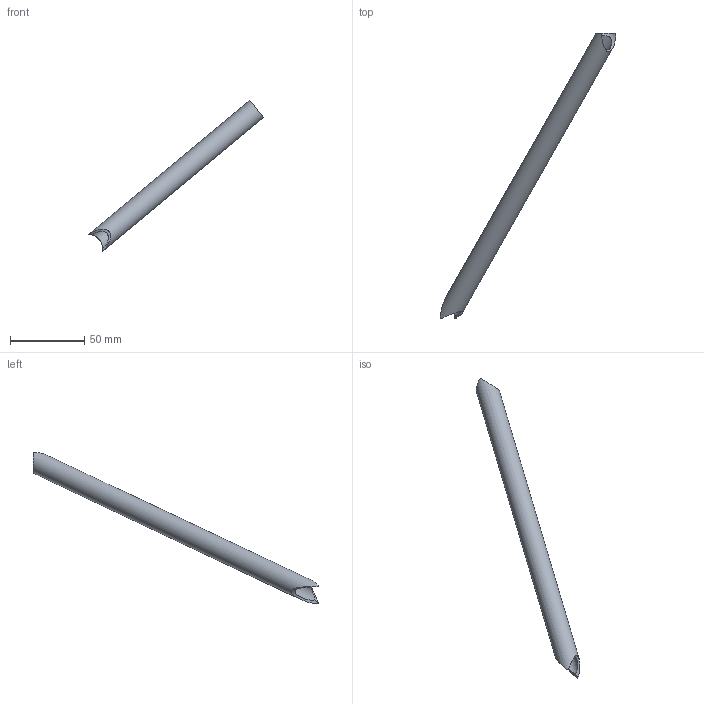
import cadquery as cq
import math


tube_diameter = 14.9
wall_thickness = 1.5
rail_diameter = 19.0
strut_diameter = 16.0
run_length = 141.6
rise_length = 192.70
axis_shift = 1.2
tilt_angle = 39.768

tube_radius = tube_diameter / 2
bore_radius = tube_radius - wall_thickness
rail_radius = rail_diameter / 2
strut_radius = strut_diameter / 2

rail_contact = math.sqrt(rail_radius**2 - tube_radius**2)
strut_contact = math.sqrt(strut_radius**2 - tube_radius**2)

ORIGIN = cq.Vector(0, 0, 0)
X_DIRECTION = cq.Vector(1, 0, 0)
Y_DIRECTION = cq.Vector(0, 1, 0)

lower_point = cq.Vector(rail_contact, strut_contact + axis_shift, 0)
crossing_point = cq.Vector(rail_contact + run_length, strut_contact + rise_length, 0)
brace_vector = crossing_point - lower_point
brace_direction = brace_vector.normalized()
mirrored_direction = cq.Vector(-brace_direction.x, brace_direction.y, 0)

overrun = 2 * tube_diameter
stock_length = brace_vector.Length + 2 * overrun
corner_tube_length = 2 * stock_length


def centered_rod(radius, center, direction, length):
    """Solid cylinder whose middle lies at the given center."""
    base = center - direction * (length / 2)
    return cq.Workplane(cq.Solid.makeCylinder(radius, length, base, direction))


def stock_tube():
    """Straight hollow tube, longer than the brace at both ends."""
    middle = (lower_point + crossing_point) * 0.5
    outside = centered_rod(tube_radius, middle, brace_direction, stock_length)
    bore = centered_rod(bore_radius, middle, brace_direction, stock_length)
    return outside.cut(bore)


def bay():
    """Space between the corner tube axes and the brace crossing that bounds the brace."""
    return cq.Workplane().box(
        crossing_point.x,
        crossing_point.y,
        2 * tube_diameter,
        centered=(False, False, True),
    )


def crossing_brace():
    """Brace of equal diameter, leaning the other way, that the upper end fits around."""
    return centered_rod(tube_radius, crossing_point, mirrored_direction, 2 * overrun)


def corner_tubes():
    """Rail and strut that the lower end fits around."""
    rail = centered_rod(rail_radius, ORIGIN, Y_DIRECTION, corner_tube_length)
    strut = centered_rod(strut_radius, ORIGIN, X_DIRECTION, corner_tube_length)
    return rail.union(strut)


flat_brace = stock_tube().intersect(bay()).cut(crossing_brace()).cut(corner_tubes())
result = flat_brace.rotate(ORIGIN, Y_DIRECTION, -tilt_angle).solids()